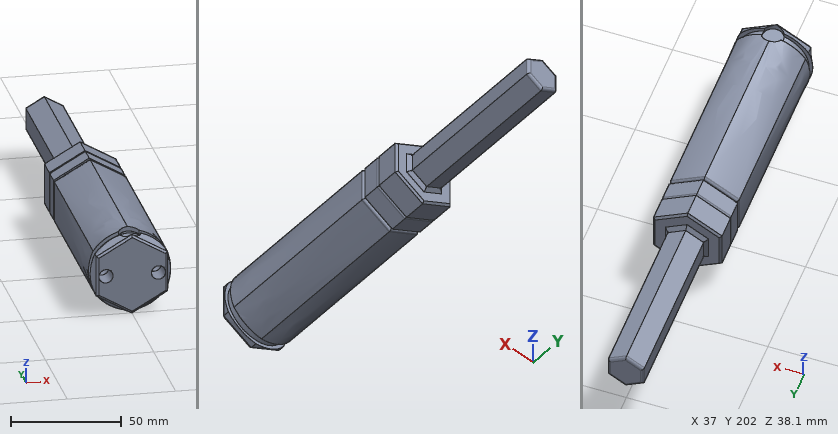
import cadquery as cq
import math

total_length = 202.0

body_hex = 33.0
shaft_hex = 17.2
shoulder_hex = 30.5

cap_back = 4.2
handle_front = 8.0
neck_back = 16.2
handle_back = 97.5
collar_front = 98.4
collar_back = 108.0
socket_front = 112.1
nut_back = 120.2

tail_length = 1.5

edge_round = 1.2
shaft_round = 1.5
nut_chamfer = 1.0
cap_chamfer = 1.0
flare_size = 1.8

bulge_radius = 18.5
neck_radius = 16.8

pocket_radius = 5.0
pocket_floor = 15.8

pin_hole_radius = 3.2
pin_hole_offset = 12.1
pin_hole_depth = 10.0
drill_tip_angle = 118.0


def section(y):
    """Sketch plane across the tool at y, with local X along X and local Y along Z."""
    return cq.Workplane("XZ", origin=(0, y, 0))


def ring_points(radius, first_angle):
    """Six points evenly spaced on a circle."""
    angles = [math.radians(first_angle + 60 * i) for i in range(6)]
    return [(radius * math.cos(a), radius * math.sin(a)) for a in angles]


def hexagon(across_flats, y):
    corners = ring_points(across_flats / math.sqrt(3), 30)
    return section(y).polyline(corners).close()


def bulged_hexagon(across_flats, y):
    """Hexagon whose sides are arcs swelling out to the bulge radius."""
    corners = ring_points(across_flats / math.sqrt(3), 30)
    side_middles = ring_points(bulge_radius, 60)
    outline = section(y).moveTo(*corners[0])
    for i in range(6):
        outline = outline.threePointArc(side_middles[i], corners[(i + 1) % 6])
    return outline.close()


def hex_bar(across_flats, front, back):
    return hexagon(across_flats, front).extrude(front - back)


def round_bar(radius, front, back):
    return section(front).circle(radius).extrude(front - back)


def ruled_loft(first_outline, last_outline):
    return cq.Workplane(cq.Solid.makeLoft([first_outline.val(), last_outline.val()], True))


def pocket():
    """Upright cylinder centred on the gap between cap and handle."""
    gap_middle = (cap_back + handle_front) / 2
    return cq.Workplane("XY", origin=(0, gap_middle, pocket_floor)).circle(pocket_radius).extrude(bulge_radius)


def pin_hole(x):
    """Blind drilled hole along Y with a conical bottom."""
    tip_length = pin_hole_radius / math.tan(math.radians(drill_tip_angle / 2))
    half_profile = [
        (0, 0),
        (pin_hole_radius, 0),
        (pin_hole_radius, pin_hole_depth),
        (0, pin_hole_depth + tip_length),
    ]
    hole = cq.Workplane("XY").polyline(half_profile).close().revolve(360, (0, 0, 0), (0, 1, 0))
    return hole.translate((x, 0, 0))


def make_shaft():
    shaft = hex_bar(shaft_hex, socket_front, total_length)
    return shaft.faces(">Y").edges().fillet(shaft_round)


def make_nut():
    """Hexagonal nut with a flared collar around the shaft and a socket that holds the shaft."""
    nut = hex_bar(body_hex, collar_back, nut_back).faces(">Y").edges().chamfer(nut_chamfer)
    flare = ruled_loft(
        hexagon(shaft_hex + 2 * flare_size, nut_back),
        hexagon(shaft_hex, nut_back + flare_size),
    )
    socket = hex_bar(shaft_hex, socket_front, total_length)
    return nut.union(flare).cut(socket)


def make_collar():
    """Hexagonal collar with a narrower shoulder that meets the handle."""
    collar = hex_bar(body_hex, collar_front, collar_back).faces(">Y").edges().fillet(edge_round)
    shoulder = hex_bar(shoulder_hex, handle_back, collar_front)
    return collar.union(shoulder)


def make_handle():
    """Grip that changes from a hexagon at the back to a bulged hexagon at the front."""
    grip_back = handle_back - tail_length
    tail = hex_bar(body_hex, grip_back, handle_back).faces(">Y").edges().fillet(edge_round)
    grip = ruled_loft(bulged_hexagon(body_hex, handle_front), hexagon(body_hex, grip_back))
    neck_bore = round_bar(neck_radius, handle_front, neck_back)
    return grip.union(tail).cut(neck_bore).cut(pocket())


def make_cap():
    """End cap with a round neck that plugs into the handle."""
    front_edge = ruled_loft(hexagon(body_hex - 2 * cap_chamfer, 0), hexagon(body_hex, cap_chamfer))
    skirt = ruled_loft(hexagon(body_hex, cap_chamfer), bulged_hexagon(body_hex, cap_back))
    neck = round_bar(neck_radius, cap_back, neck_back)
    cap = front_edge.union(skirt).union(neck).cut(pocket())
    for x in (-pin_hole_offset, pin_hole_offset):
        cap = cap.cut(pin_hole(x))
    return cap


shaft = make_shaft().solids()
nut = make_nut().solids()
collar = make_collar().solids()
handle = make_handle().solids()
cap = make_cap().solids()

result = cq.Compound.makeCompound([shaft.val(), nut.val(), collar.val(), handle.val(), cap.val()])